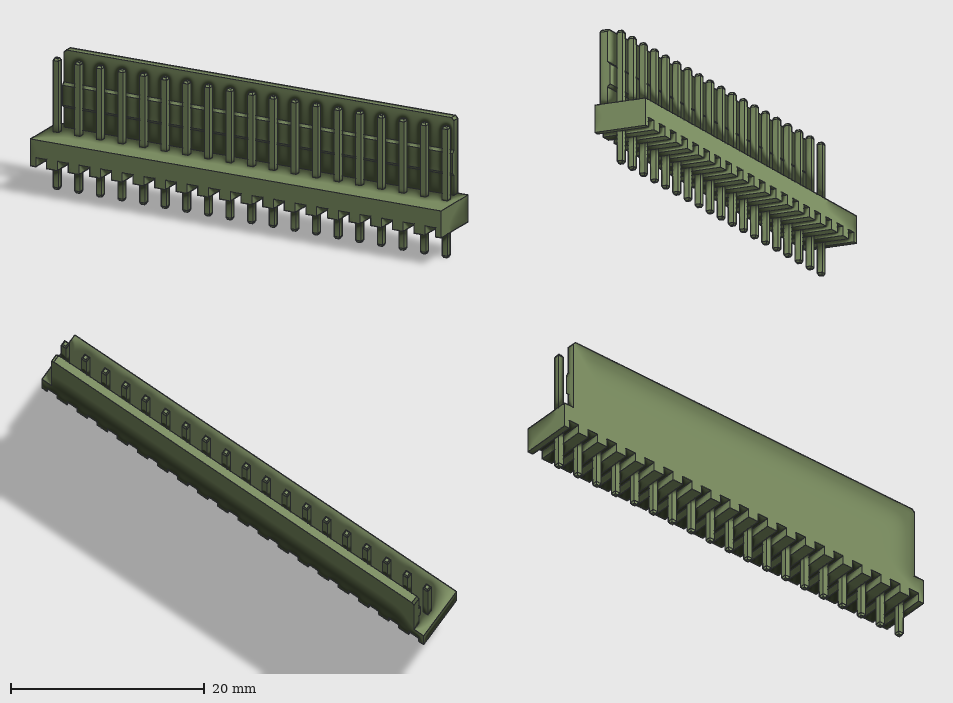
import cadquery as cq


pin_count = 19
base_length = 48.25
base_depth = 5.9
base_height = 2.95
pitch = base_length / pin_count
back_y = base_depth / 2

pin_width = 0.65
pin_top = 10.95
pin_bottom = -3.35
pin_from_back = 2.4
tip_height = 0.25
tip_inset = 0.12

slot_width = 1.25
slot_depth = 1.0

wall_inset = 1.2
wall_length = base_length - 2 * wall_inset
wall_top = 11.4
wall_thickness = 0.85
wall_corner = 0.3

rib_bottom = 5.1
rib_top = 7.85
rib_projection = 0.3

pin_xs = [(i - (pin_count - 1) / 2) * pitch for i in range(pin_count)]


def make_base():
    base = cq.Workplane("XY").box(base_length, base_depth, base_height, centered=(True, True, False))
    slots = (
        cq.Workplane("XY")
        .pushPoints([(x, 0) for x in pin_xs])
        .rect(slot_width, base_depth)
        .extrude(slot_depth)
    )
    return base.cut(slots)


def make_wall():
    wall_front = back_y - wall_thickness
    rib_front = wall_front - rib_projection
    profile = [
        (back_y, base_height),
        (back_y, wall_top),
        (wall_front, wall_top),
        (wall_front, rib_top),
        (rib_front, rib_top - rib_projection),
        (rib_front, rib_bottom + rib_projection),
        (wall_front, rib_bottom),
        (wall_front, base_height),
    ]
    wall = cq.Workplane("YZ").polyline(profile).close().extrude(wall_length / 2, both=True)
    return wall.faces(">Z").edges("|Y").chamfer(wall_corner)


def make_pin(x):
    pin_y = back_y - pin_from_back
    pin = (
        cq.Workplane("XY", origin=(x, pin_y, pin_bottom))
        .rect(pin_width, pin_width)
        .extrude(pin_top - pin_bottom)
    )
    return pin.faces("<Z or >Z").chamfer(tip_height, tip_inset)


result = make_base().union(make_wall())
for pin_x in pin_xs:
    result = result.union(make_pin(pin_x))